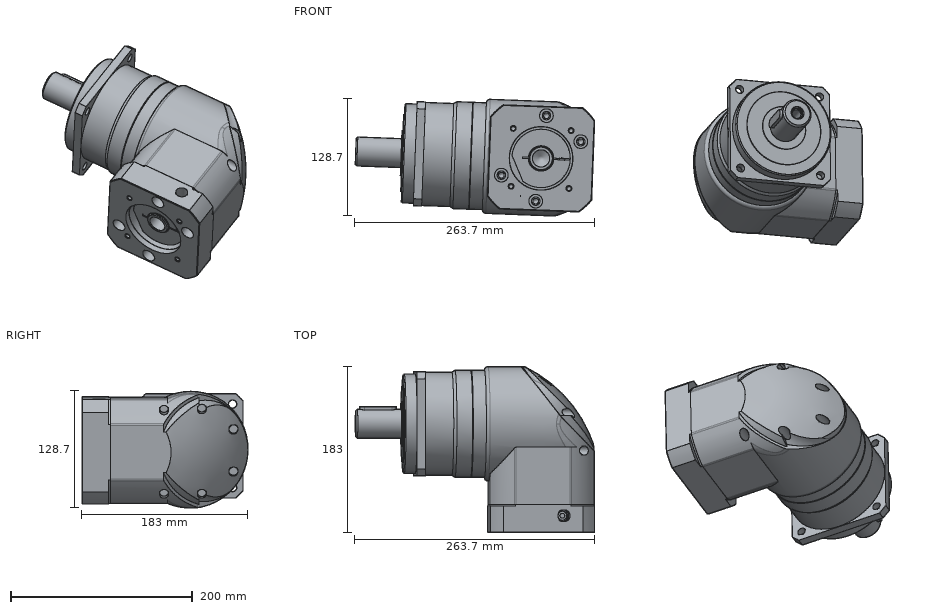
import cadquery as cq
import math

TILT_ANGLE = 2.15

SHAFT_TIP_X = -204.2
SEAL_FACE_X = -154.2
COVER_FACE_X = -153.0
PILOT_FACE_X = -152.0
FLANGE_FRONT_X = -138.5
FLANGE_BACK_X = -129.5
CONE_START_X = -98.3
CONE_END_X = -95.0
RING_FRONT_X = -77.2
ELBOW_FRONT_X = -62.5

SEAL_RADIUS = 24.8
COVER_RADIUS = 42.5
PILOT_RADIUS = 54.8
PILOT_CHAMFER = 1.3
BARREL_RADIUS = 57.0
RING_RADIUS = 59.0
JOINT_GROOVE = 0.4

SQUARE_SIDE = 115.0
HALF_SIDE = SQUARE_SIDE / 2
FLANGE_CHAMFER = 8.0
FLANGE_HOLE_DIAMETER = 9.0
FLANGE_HOLE_SPACING = 92.0

SHAFT_RADIUS = 16.0
SHAFT_CHAMFER = 1.8
SHAFT_INNER_END_X = -105.5
CENTRE_MOUTH_RADIUS = 7.5
CENTRE_BORE_RADIUS = 6.3
CENTRE_BORE_DEPTH = 4.0
CENTRE_DRILL_RADIUS = 5.0
CENTRE_DRILL_DEPTH = 23.7
KEY_START_X = -199.8
KEY_END_X = -159.5
KEY_WIDTH = 10.0
KEY_TOP_Y = 19.0
KEY_SEAT_Y = 11.3

ELBOW_RADIUS = 63.0
ELBOW_ROUND = 4.0
NECK_RADIUS = 65.0
NECK_EDGE_ROUND = 4.0
MITRE_ROUND = 13.2
SHOULDER_X = 20.3
SHOULDER_Y = 7.0
SHOULDER_SLOPE = 0.77
CAP_AXIS_OFFSET = -8.5
CAP_TOP = 40.0
DOME_RADIUS = 147.5
WAIST_RADIUS = 50.5
FLANK_MIDDLE = 24.2
FLANK_MIDDLE_RADIUS = 53.5
FLANK_BASE = 15.5
FLANK_BASE_RADIUS = 64.3
NECK_STEP_RADIUS = 61.7
NECK_STEP_END_Y = 9.2
BACK_HOLE_RADIUS = 5.0
BACK_HOLE_CENTRES = ((-29.5, 46.0), (12.0, 46.6), (47.0, 23.2))
BACK_HOLE_FLOOR_X = -21.0

INPUT_FACE_Y = -120.0
PILOT_BORE_DEPTH = 6.9
HUB_FACE_DEPTH = 9.0
COLLAR_FACE_DEPTH = 11.0
ADAPTER_PLATE_Y = -90.7
ADAPTER_BACK_Y = -88.5
HUB_FACE_Y = INPUT_FACE_Y + HUB_FACE_DEPTH
COLLAR_FACE_Y = INPUT_FACE_Y + COLLAR_FACE_DEPTH

ADAPTER_CORNER_RADIUS = 72.2
ADAPTER_EDGE_CHAMFER = 0.8
PILOT_BORE_RADIUS = 35.0
CAVITY_RADIUS = 34.8
SCREW_CIRCLE_RADIUS = 47.5
SCREW_ANGLES = (25, 85, 205, 265)
COUNTERBORE_RADIUS = 7.5
COUNTERBORE_DEPTH = 13.2
CLEARANCE_RADIUS = 4.6
ELBOW_THREAD_RADIUS = 3.2
ELBOW_THREAD_DEPTH = 15.8
MOTOR_CIRCLE_RADIUS = 45.0
MOTOR_ANGLES = (45, 135, 225, 315)
MOTOR_MOUTH_RADIUS = 3.2
MOTOR_THREAD_RADIUS = 2.5
MOTOR_MOUTH_DEPTH = 0.8
MOTOR_THREAD_DEPTH = 15.8

COLLAR_RADIUS = 32.2
COLLAR_FLAT_DISTANCE = 28.2
COLLAR_FLAT_ANGLE = 205
COLLAR_SLIT = 1.5
COLLAR_SLIT_LEFT = 20.5
COLLAR_BORE_CHAMFER = 0.5
HUB_RADIUS = 13.5
HUB_CHAMFER = 1.0
HUB_BORE_RADIUS = 9.5
HUB_BORE_DEPTH = 26.4
HUB_INNER_END_Y = -68.5
CLAMP_SCREW_X = 23.2
CLAMP_SCREW_Y = -101.2
CLAMP_ACCESS_RADIUS = 6.5
CLAMP_HEAD_RADIUS = 5.0
CLAMP_HEAD_TOP_Z = 7.6
CLAMP_HEAD_HEIGHT = 6.0
CLAMP_BEARING_Z = CLAMP_HEAD_TOP_Z - CLAMP_HEAD_HEIGHT
CLAMP_SHANK_RADIUS = 3.0
CLAMP_SHANK_END_Z = -18.5
CLAMP_HEX_DIAMETER = 5.8
CLAMP_HEX_DEPTH = 3.2

DRILL_POINT_ANGLE = 118


def cylinder(radius, start, direction, length):
    return cq.Workplane(cq.Solid.makeCylinder(radius, length, cq.Vector(*start), cq.Vector(*direction)))


def along_x(radius, start_x, end_x, y=0, z=0):
    return cylinder(radius, (start_x, y, z), (1, 0, 0), end_x - start_x)


def along_y(radius, start_y, end_y, x=0, z=0):
    return cylinder(radius, (x, start_y, z), (0, 1, 0), end_y - start_y)


def drill(radius, start, direction, depth):
    """A drilled hole: a cylinder that ends in a drill point."""
    axis = cq.Vector(*direction)
    tip_height = radius / math.tan(math.radians(DRILL_POINT_ANGLE / 2))
    tip = cq.Solid.makeCone(radius, 0, tip_height, cq.Vector(*start) + axis * depth, axis)
    return cylinder(radius, start, direction, depth).union(cq.Workplane(tip))


def square_prism(start_y, end_y):
    length = end_y - start_y
    return cq.Workplane("XY").box(SQUARE_SIDE, length, SQUARE_SIDE).translate((0, start_y + length / 2, 0))


def input_circle_points(radius, angles):
    """X and Z of points on a circle around the input axis."""
    places = []
    for angle in angles:
        turn = math.radians(angle)
        places.append((radius * math.cos(turn), radius * math.sin(turn)))
    return places


def make_shaft():
    shaft = along_x(SHAFT_RADIUS, SHAFT_TIP_X, SHAFT_INNER_END_X).faces("<X").chamfer(SHAFT_CHAMFER)
    mouth_depth = CENTRE_MOUTH_RADIUS - CENTRE_BORE_RADIUS
    mouth = cq.Solid.makeCone(
        CENTRE_MOUTH_RADIUS, CENTRE_BORE_RADIUS, mouth_depth, cq.Vector(SHAFT_TIP_X, 0, 0), cq.Vector(1, 0, 0)
    )
    shaft = shaft.cut(cq.Workplane(mouth))
    shaft = shaft.cut(along_x(CENTRE_BORE_RADIUS, SHAFT_TIP_X, SHAFT_TIP_X + CENTRE_BORE_DEPTH))
    shaft = shaft.cut(drill(CENTRE_DRILL_RADIUS, (SHAFT_TIP_X, 0, 0), (1, 0, 0), CENTRE_DRILL_DEPTH))
    return shaft.cut(make_key())


def make_key():
    return (
        cq.Workplane("XZ", origin=((KEY_START_X + KEY_END_X) / 2, KEY_TOP_Y, 0))
        .slot2D(KEY_END_X - KEY_START_X, KEY_WIDTH)
        .extrude(KEY_TOP_Y - KEY_SEAT_Y)
    )


def make_front_housing():
    profile = [
        (SEAL_FACE_X, 0),
        (SEAL_FACE_X, SEAL_RADIUS),
        (COVER_FACE_X, SEAL_RADIUS),
        (COVER_FACE_X, COVER_RADIUS),
        (PILOT_FACE_X, COVER_RADIUS),
        (PILOT_FACE_X, PILOT_RADIUS - PILOT_CHAMFER),
        (PILOT_FACE_X + PILOT_CHAMFER, PILOT_RADIUS),
        (FLANGE_FRONT_X, PILOT_RADIUS),
        (FLANGE_FRONT_X, BARREL_RADIUS),
        (CONE_START_X, BARREL_RADIUS),
        (CONE_END_X, RING_RADIUS),
        (RING_FRONT_X - JOINT_GROOVE, RING_RADIUS),
        (RING_FRONT_X - JOINT_GROOVE, RING_RADIUS - JOINT_GROOVE),
        (RING_FRONT_X, RING_RADIUS - JOINT_GROOVE),
        (RING_FRONT_X, 0),
    ]
    barrel = cq.Workplane("XY").polyline(profile).close().revolve(360, (0, 0, 0), (1, 0, 0))
    flange = (
        cq.Workplane("YZ", origin=(FLANGE_FRONT_X, 0, 0))
        .rect(SQUARE_SIDE, SQUARE_SIDE)
        .extrude(FLANGE_BACK_X - FLANGE_FRONT_X)
        .edges("|X")
        .chamfer(FLANGE_CHAMFER)
    )
    holes = (
        cq.Workplane("YZ", origin=(FLANGE_FRONT_X, 0, 0))
        .rect(FLANGE_HOLE_SPACING, FLANGE_HOLE_SPACING, forConstruction=True)
        .vertices()
        .circle(FLANGE_HOLE_DIAMETER / 2)
        .extrude(FLANGE_BACK_X - FLANGE_FRONT_X)
    )
    shaft_bore = along_x(SHAFT_RADIUS, SEAL_FACE_X, SHAFT_INNER_END_X)
    return barrel.union(flange).cut(holes).cut(shaft_bore)


def make_ring():
    groove = along_x(RING_RADIUS, RING_FRONT_X, RING_FRONT_X + JOINT_GROOVE)
    groove = groove.cut(along_x(RING_RADIUS - JOINT_GROOVE, RING_FRONT_X, RING_FRONT_X + JOINT_GROOVE))
    return along_x(RING_RADIUS, RING_FRONT_X, ELBOW_FRONT_X).cut(groove)


def make_cap():
    """The rounded-off outer corner: a dome on a hollow-flanked waist, beside a short step of the neck."""
    dome_centre = CAP_TOP - DOME_RADIUS
    waist = DOME_RADIUS * math.cos(math.asin(WAIST_RADIUS / DOME_RADIUS)) + dome_centre
    offset = CAP_AXIS_OFFSET / math.sqrt(2)
    corner_plane = cq.Plane(origin=(offset, -offset, 0), xDir=(1, -1, 0), normal=(0, 0, 1))
    flank = (
        cq.Workplane(corner_plane)
        .moveTo(0, CAP_TOP)
        .lineTo(WAIST_RADIUS, CAP_TOP)
        .lineTo(WAIST_RADIUS, waist)
        .threePointArc((FLANK_MIDDLE_RADIUS, FLANK_MIDDLE), (FLANK_BASE_RADIUS, FLANK_BASE))
        .lineTo(0, FLANK_BASE)
        .close()
        .revolve(360, (0, 0, 0), (0, 1, 0))
    )
    step = along_y(NECK_STEP_RADIUS, -NECK_RADIUS, NECK_STEP_END_Y)
    sphere_centre = corner_plane.toWorldCoords((0, dome_centre, 0))
    dome = cq.Workplane("XY").sphere(DOME_RADIUS).translate(sphere_centre.toTuple())
    return flank.union(step).intersect(dome)


def make_cap_trim():
    """What is cleared away around the cap, beyond a shoulder that runs across the elbow."""
    reach = 2 * NECK_RADIUS
    shoulder = [
        (SHOULDER_X - reach * SHOULDER_SLOPE, SHOULDER_Y + reach),
        (SHOULDER_X, SHOULDER_Y),
        (SHOULDER_X + reach, SHOULDER_Y - reach),
        (SHOULDER_X + reach, SHOULDER_Y + reach),
    ]
    cleared = cq.Workplane("XY").polyline(shoulder).close().extrude(reach, both=True)
    return cleared.cut(make_cap())


def make_elbow():
    flat_end_y = -math.sqrt(ELBOW_RADIUS**2 - HALF_SIDE**2)
    neck = along_y(NECK_RADIUS, ADAPTER_BACK_Y, flat_end_y).intersect(square_prism(ADAPTER_BACK_Y, flat_end_y))
    neck = neck.edges("|Y").fillet(NECK_EDGE_ROUND)
    tube = along_x(ELBOW_RADIUS, ELBOW_FRONT_X, 0).faces("<X").edges().fillet(ELBOW_ROUND)
    reach = 2 * NECK_RADIUS
    corner = along_x(ELBOW_RADIUS, 0, reach).intersect(along_y(NECK_RADIUS, -reach, reach))
    corner = corner.edges(">X").fillet(MITRE_ROUND)
    corner_room = cq.Workplane("XY").box(
        HALF_SIDE, ELBOW_RADIUS - flat_end_y, 2 * ELBOW_RADIUS, centered=(False, False, True)
    )
    corner = corner.intersect(corner_room.translate((0, flat_end_y, 0)))
    elbow = tube.union(corner).union(neck).cut(make_cap_trim())
    for y, z in BACK_HOLE_CENTRES:
        for side in (1, -1):
            elbow = elbow.cut(along_x(BACK_HOLE_RADIUS, BACK_HOLE_FLOOR_X, ELBOW_RADIUS, y, side * z))
    for x, z in input_circle_points(SCREW_CIRCLE_RADIUS, SCREW_ANGLES):
        elbow = elbow.cut(drill(ELBOW_THREAD_RADIUS, (x, ADAPTER_BACK_Y, z), (0, 1, 0), ELBOW_THREAD_DEPTH))
    return elbow.cut(along_y(HUB_RADIUS, ADAPTER_BACK_Y, HUB_INNER_END_Y))


def make_adapter():
    plate = square_prism(INPUT_FACE_Y, ADAPTER_PLATE_Y)
    plate = plate.intersect(along_y(ADAPTER_CORNER_RADIUS, INPUT_FACE_Y, ADAPTER_PLATE_Y))
    plate = plate.faces("<Y").chamfer(ADAPTER_EDGE_CHAMFER)
    spigot = square_prism(ADAPTER_PLATE_Y, ADAPTER_BACK_Y)
    spigot = spigot.intersect(along_y(NECK_RADIUS, ADAPTER_PLATE_Y, ADAPTER_BACK_Y))
    adapter = plate.union(spigot)
    adapter = adapter.cut(along_y(PILOT_BORE_RADIUS, INPUT_FACE_Y, INPUT_FACE_Y + PILOT_BORE_DEPTH))
    adapter = adapter.cut(along_y(CAVITY_RADIUS, INPUT_FACE_Y, ADAPTER_BACK_Y))
    for x, z in input_circle_points(SCREW_CIRCLE_RADIUS, SCREW_ANGLES):
        adapter = adapter.cut(along_y(COUNTERBORE_RADIUS, INPUT_FACE_Y, INPUT_FACE_Y + COUNTERBORE_DEPTH, x, z))
        adapter = adapter.cut(along_y(CLEARANCE_RADIUS, INPUT_FACE_Y, ADAPTER_BACK_Y, x, z))
    for x, z in input_circle_points(MOTOR_CIRCLE_RADIUS, MOTOR_ANGLES):
        mouth_end_y = INPUT_FACE_Y + MOTOR_MOUTH_DEPTH
        adapter = adapter.cut(along_y(MOTOR_MOUTH_RADIUS, INPUT_FACE_Y, mouth_end_y, x, z))
        adapter = adapter.cut(drill(MOTOR_THREAD_RADIUS, (x, INPUT_FACE_Y, z), (0, 1, 0), MOTOR_THREAD_DEPTH))
    return adapter.cut(make_clamp_access())


def make_clamp_access():
    """The passage that leads down to the clamp screw's head."""
    start = (CLAMP_SCREW_X, CLAMP_SCREW_Y, CLAMP_BEARING_Z)
    return cylinder(CLAMP_ACCESS_RADIUS, start, (0, 0, 1), HALF_SIDE - CLAMP_BEARING_Z)


def make_clamp_shank():
    length = CLAMP_HEAD_TOP_Z - CLAMP_SHANK_END_Z
    start = (CLAMP_SCREW_X, CLAMP_SCREW_Y, CLAMP_SHANK_END_Z)
    return cylinder(CLAMP_SHANK_RADIUS, start, (0, 0, 1), length)


def make_clamp_screw():
    start = (CLAMP_SCREW_X, CLAMP_SCREW_Y, CLAMP_BEARING_Z)
    head = cylinder(CLAMP_HEAD_RADIUS, start, (0, 0, 1), CLAMP_HEAD_HEIGHT)
    socket = (
        cq.Workplane("XY", origin=(CLAMP_SCREW_X, CLAMP_SCREW_Y, CLAMP_HEAD_TOP_Z))
        .polygon(6, CLAMP_HEX_DIAMETER)
        .extrude(-CLAMP_HEX_DEPTH)
    )
    return make_clamp_shank().union(head).cut(socket)


def make_collar():
    length = ADAPTER_BACK_Y - COLLAR_FACE_Y
    flat = (
        cq.Workplane("XY")
        .box(COLLAR_RADIUS, -2 * COLLAR_FACE_Y, 2 * COLLAR_RADIUS)
        .translate((COLLAR_FLAT_DISTANCE + COLLAR_RADIUS / 2, 0, 0))
        .rotate((0, 0, 0), (0, 1, 0), -COLLAR_FLAT_ANGLE)
    )
    slit_length = COLLAR_RADIUS + COLLAR_SLIT_LEFT
    slit_centre = ((COLLAR_RADIUS - COLLAR_SLIT_LEFT) / 2, (COLLAR_FACE_Y + ADAPTER_BACK_Y) / 2, 0)
    slit = cq.Workplane("XY").box(slit_length, length, COLLAR_SLIT).translate(slit_centre)
    mouth = cq.Solid.makeCone(
        HUB_RADIUS + COLLAR_BORE_CHAMFER,
        HUB_RADIUS,
        COLLAR_BORE_CHAMFER,
        cq.Vector(0, COLLAR_FACE_Y, 0),
        cq.Vector(0, 1, 0),
    )
    collar = along_y(COLLAR_RADIUS, COLLAR_FACE_Y, ADAPTER_BACK_Y).cut(flat)
    collar = collar.cut(along_y(HUB_RADIUS, COLLAR_FACE_Y, ADAPTER_BACK_Y)).cut(cq.Workplane(mouth))
    return collar.cut(slit).cut(make_clamp_access()).cut(make_clamp_shank())


def make_hub():
    hub = along_y(HUB_RADIUS, HUB_FACE_Y, HUB_INNER_END_Y).faces("<Y").chamfer(HUB_CHAMFER)
    return hub.cut(drill(HUB_BORE_RADIUS, (0, HUB_FACE_Y, 0), (0, 1, 0), HUB_BORE_DEPTH))


def tilted(body):
    return body.rotate((0, 0, 0), (0, 1, 0), TILT_ANGLE).val()


shaft = tilted(make_shaft())
key = tilted(make_key())
front_housing = tilted(make_front_housing())
ring = tilted(make_ring())
elbow = tilted(make_elbow())
adapter = tilted(make_adapter())
collar = tilted(make_collar())
clamp_screw = tilted(make_clamp_screw())
hub = tilted(make_hub())

result = cq.Compound.makeCompound(
    [shaft, key, front_housing, ring, elbow, adapter, collar, clamp_screw, hub]
)